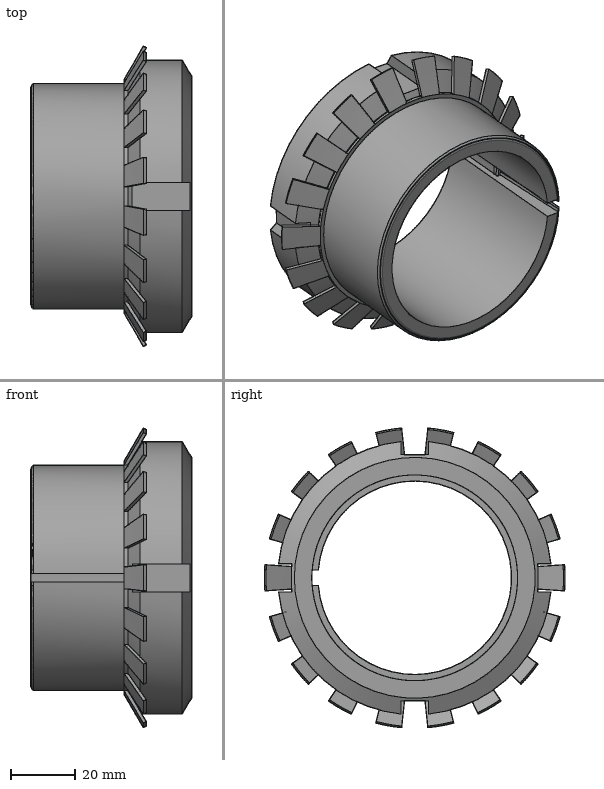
import cadquery as cq
import math


SLEEVE_LENGTH = 50.0
WASHER_X = 29.0
BEND_ANGLE = 30.0
BEND_SLOPE = math.tan(math.radians(BEND_ANGLE))

BORE_R = 30.0
TAPER = 1 / 24
SLEEVE_FRONT_R = 34.3
SLEEVE_ROUND = 0.6
SLEEVE_SLIT = 4.8
THREAD_R = 63.9 / 2

RING_R = 35.05
RING_FRONT_X = 0.3
RING_CHAMFER = 0.6
RING_SLIT = 2.5

WASHER_BORE_R = 65.0 / 2
WASHER_R = 36.4
WASHER_THICKNESS = 1.2
TOOTH_COUNT = 18
TOOTH_TIP_R = 46.7
TOOTH_ROOT_WIDTH = 6.8
TOOTH_TIP_WIDTH = 8.2

NUT_R = 42.5
NUT_FRONT_FACE_R = 36.1
NUT_BACK_FACE_R = 37.4
NUT_SLOT_COUNT = 4
NUT_SLOT_WIDTH = 8.7
NUT_SLOT_FLOOR_R = 38.2


def cone_radius(x):
    """Radius of the tapered seat between the sleeve and the ring."""
    return SLEEVE_FRONT_R - TAPER * x


def revolve_profile(points):
    """Solid of revolution about X from a closed outline of (x, radius) points, with its seam towards -Y."""
    outline = [(x, -radius) for x, radius in points]
    return cq.Workplane("XY").polyline(outline).close().revolve(360, (0, 0, 0), (1, 0, 0))


def cut_slit(body, width):
    """Cut a lengthwise slit of the given width through the -Y wall."""
    slit = cq.Workplane("XY").box(SLEEVE_LENGTH, RING_R, width, centered=(False, False, True))
    return body.cut(slit.translate((0, -RING_R, 0)))


def make_sleeve():
    body = revolve_profile([
        (0, BORE_R),
        (0, cone_radius(0)),
        (WASHER_X, cone_radius(WASHER_X)),
        (WASHER_X, THREAD_R),
        (SLEEVE_LENGTH, THREAD_R),
        (SLEEVE_LENGTH, BORE_R),
    ])
    outermost = cq.selectors.RadiusNthSelector(-1)
    body = body.faces("<X").edges(outermost).fillet(SLEEVE_ROUND)
    return cut_slit(body, SLEEVE_SLIT)


def make_ring():
    body = revolve_profile([
        (RING_FRONT_X, cone_radius(RING_FRONT_X)),
        (RING_FRONT_X, RING_R - RING_CHAMFER),
        (RING_FRONT_X + RING_CHAMFER, RING_R),
        (WASHER_X, RING_R),
        (WASHER_X, cone_radius(WASHER_X)),
    ])
    return cut_slit(body, RING_SLIT)


def make_tooth_cone():
    """Full conical rim from which the separate teeth are taken."""
    bend = math.radians(BEND_ANGLE)
    tip_x = WASHER_X + (TOOTH_TIP_R - WASHER_R) * BEND_SLOPE
    tooth_thickness = WASHER_THICKNESS * math.cos(bend)
    return revolve_profile([
        (WASHER_X, WASHER_R),
        (tip_x, TOOTH_TIP_R),
        (tip_x + tooth_thickness * math.cos(bend), TOOTH_TIP_R - tooth_thickness * math.sin(bend)),
        (WASHER_X + WASHER_THICKNESS, WASHER_R),
    ])


def make_tooth_outline():
    """Prism along X with the tapered outline of the tooth that points to +Y."""
    root_r = WASHER_R - WASHER_THICKNESS
    taper = (TOOTH_TIP_WIDTH - TOOTH_ROOT_WIDTH) / (TOOTH_TIP_R - WASHER_R) / 2
    root_half = TOOTH_ROOT_WIDTH / 2 - taper * (WASHER_R - root_r)
    end_r = TOOTH_TIP_R + WASHER_THICKNESS
    end_half = TOOTH_TIP_WIDTH / 2 + taper * (end_r - TOOTH_TIP_R)
    return (
        cq.Workplane("YZ")
        .polyline([(root_r, -root_half), (end_r, -end_half), (end_r, end_half), (root_r, root_half)])
        .close()
        .extrude(SLEEVE_LENGTH)
    )


def make_washer():
    washer = revolve_profile([
        (WASHER_X, WASHER_BORE_R),
        (WASHER_X, WASHER_R),
        (WASHER_X + WASHER_THICKNESS, WASHER_R),
        (WASHER_X + WASHER_THICKNESS, WASHER_BORE_R),
    ])
    tooth = make_tooth_cone().intersect(make_tooth_outline())
    for i in range(TOOTH_COUNT):
        washer = washer.union(tooth.rotate((0, 0, 0), (1, 0, 0), i * 360 / TOOTH_COUNT))
    return washer


def make_nut():
    front_x = WASHER_X + WASHER_THICKNESS
    bore_chamfer = WASHER_BORE_R - THREAD_R
    nut = revolve_profile([
        (front_x + bore_chamfer, THREAD_R),
        (front_x, WASHER_BORE_R),
        (front_x, NUT_FRONT_FACE_R),
        (front_x + (NUT_R - NUT_FRONT_FACE_R) * BEND_SLOPE, NUT_R),
        (SLEEVE_LENGTH - (NUT_R - NUT_BACK_FACE_R) * BEND_SLOPE, NUT_R),
        (SLEEVE_LENGTH, NUT_BACK_FACE_R),
        (SLEEVE_LENGTH, THREAD_R),
    ])
    slot = (
        cq.Workplane("XY")
        .box(SLEEVE_LENGTH, NUT_R, NUT_SLOT_WIDTH, centered=(False, False, True))
        .translate((0, NUT_SLOT_FLOOR_R, 0))
    )
    for i in range(NUT_SLOT_COUNT):
        nut = nut.cut(slot.rotate((0, 0, 0), (1, 0, 0), i * 360 / NUT_SLOT_COUNT))
    return nut


sleeve = make_sleeve()
ring = make_ring()
washer = make_washer()
nut = make_nut()

bodies = [sleeve, ring, washer, nut]
result = cq.Compound.makeCompound([body.solids().val() for body in bodies])